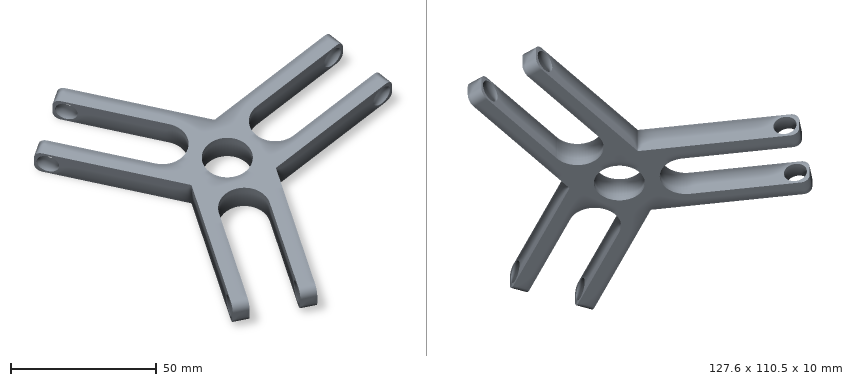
import cadquery as cq
import math

overall_width = 127.6
thickness = 10.0
arm_count = 3
arm_half_width = 15.0
slot_width = 18.1
slot_end_distance = 14.2
hub_bore_diameter = 17.6
tip_radius = 3.0
pin_diameter = 8.0
pin_to_tip = 5.0
crotch_radius = 0.5

lower_arm_angle = math.radians(30)
arm_length = (
    overall_width / 2 - arm_half_width * math.sin(lower_arm_angle)
) / math.cos(lower_arm_angle)


def arm_blank():
    """Bar from the hub centre along +Y with rounded tip edges."""
    bar = cq.Workplane("XY").box(
        2 * arm_half_width, arm_length, thickness, centered=(True, False, True)
    )
    return bar.faces(">Y").edges("|X").fillet(tip_radius)


def slot_cutter():
    """Open-ended slot with a full round at the hub end."""
    slot_radius = slot_width / 2
    round_centre = slot_end_distance + slot_radius
    return (
        cq.Workplane("XY")
        .workplane(offset=-thickness / 2)
        .moveTo(-slot_radius, arm_length)
        .lineTo(-slot_radius, round_centre)
        .threePointArc((0, slot_end_distance), (slot_radius, round_centre))
        .lineTo(slot_radius, arm_length)
        .close()
        .extrude(thickness)
    )


def pin_cutter():
    """Cross hole through both prongs of the fork."""
    return (
        cq.Workplane("YZ")
        .center(arm_length - pin_to_tip, 0)
        .circle(pin_diameter / 2)
        .extrude(arm_half_width, both=True)
    )


def around_hub(shape, index):
    """Turn a shape from the +Y arm to the arm with the given index."""
    return shape.rotate((0, 0, 0), (0, 0, 1), index * 360 / arm_count)


blank = arm_blank()
result = blank
for index in range(1, arm_count):
    result = result.union(around_hub(blank, index))

hub_zone = cq.selectors.BoxSelector(
    (-2 * arm_half_width, -2 * arm_half_width, -thickness),
    (2 * arm_half_width, 2 * arm_half_width, thickness),
)
result = result.edges("|Z").edges(hub_zone).fillet(crotch_radius)

fork_cutter = slot_cutter().union(pin_cutter())
for index in range(arm_count):
    result = result.cut(around_hub(fork_cutter, index))

hub_bore = cq.Workplane("XY").cylinder(thickness, hub_bore_diameter / 2)
result = result.cut(hub_bore)